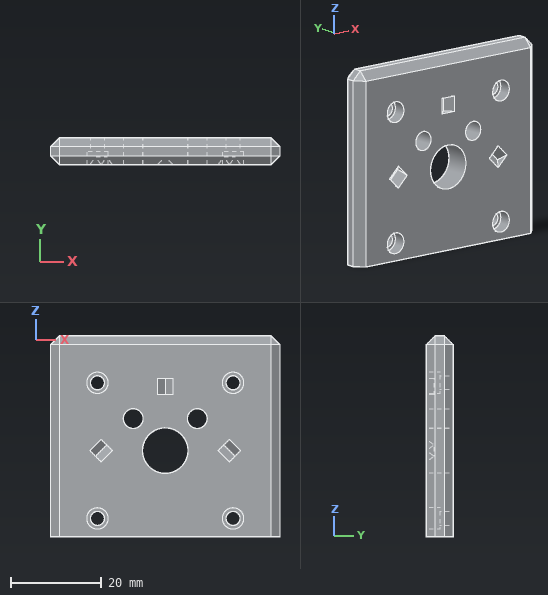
import cadquery as cq
import math

width = 50.8
thickness = 6.0
height = 44.45
bevel = thickness / 3

bore_height = 19.05
bore_diameter = 10.0
pin_diameter = 4.3
pin_circle_radius = 10.0
screw_diameter = 3.05
screw_head_diameter = 4.7
screw_offset = 15.0
screw_head_depth = thickness / 2

notch_bar_side = 2.5
notch_length = notch_bar_side * math.sqrt(2)
notch_circle_radius = 14.15

front_y = -thickness / 2


def beveled_plate():
    """Plate with its two sides and top beveled all round; the base stays square."""
    plate = cq.Workplane("XY").box(width, thickness, height, centered=(True, True, False))
    rim_edges = plate.edges("not <Z").edges("(<Y or >Y) or (|Y and >Z)")
    return rim_edges.chamfer(bevel)


def drill(points, diameter, depth):
    """Cylinders running from the front face into the plate."""
    front = cq.Workplane("XZ", origin=(0, front_y, bore_height))
    return front.pushPoints(points).circle(diameter / 2).extrude(-depth)


def notch_cutter(x, rise, tilt):
    """Square bar with its diagonal in the front face, turned by tilt."""
    bar = cq.Workplane("XY").rect(notch_bar_side, notch_bar_side).extrude(notch_length / 2, both=True)
    bar = bar.rotate((0, 0, 0), (0, 0, 1), 45)
    bar = bar.rotate((0, 0, 0), (0, 1, 0), tilt)
    return bar.translate((x, front_y, bore_height + rise))


notch_places = [
    (-notch_circle_radius, 0, 45),
    (0, notch_circle_radius, 0),
    (notch_circle_radius, 0, -45),
]

pin_offset = pin_circle_radius * math.sqrt(0.5)
pin_points = [(side * pin_offset, pin_offset) for side in (-1, 1)]
screw_points = [(x * screw_offset, z * screw_offset) for x in (-1, 1) for z in (-1, 1)]

result = beveled_plate()
result = result.cut(drill([(0, 0)], bore_diameter, thickness))
result = result.cut(drill(pin_points, pin_diameter, thickness))
result = result.cut(drill(screw_points, screw_diameter, thickness))
result = result.cut(drill(screw_points, screw_head_diameter, screw_head_depth))
for x, rise, tilt in notch_places:
    result = result.cut(notch_cutter(x, rise, tilt))